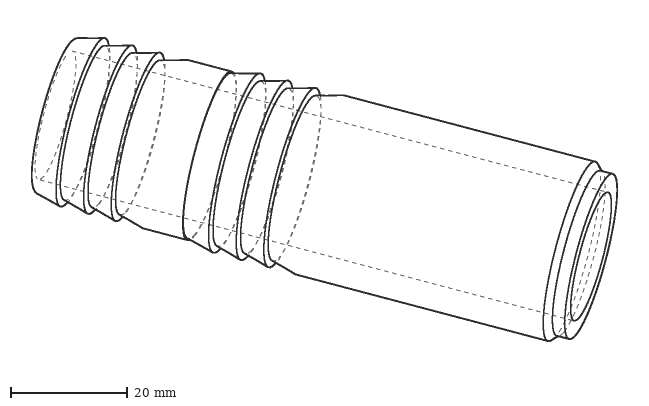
import cadquery as cq

length = 97.0
body_radius = 16.0
bore_radius = 11.4

barbs_per_group = 4
group_length = 20.0
barb_pitch = group_length / barbs_per_group
barb_back_length = 0.4
band_radius = 15.0
band_length = 8.0
front_root_radius = 13.8
rear_root_radius = 14.7
tip_fillet = 0.9

neck_radius = 14.7
neck_length = 2.2
neck_chamfer = body_radius - neck_radius

start_x = -length / 2
end_x = length / 2
rear_group_x = start_x + group_length + band_length


def barb_points(group_x, root_radius, crest_radius):
    """Sawtooth outline of one barb group, ending on its last crest."""
    points = []
    for index in range(barbs_per_group):
        barb_x = group_x + index * barb_pitch
        root_x = barb_x if index == 0 else barb_x + barb_back_length
        points.append((root_x, root_radius))
        points.append((barb_x + barb_pitch, crest_radius))
    return points


outline = [(start_x, 0)]
outline += barb_points(start_x, front_root_radius, band_radius)
outline.append((rear_group_x, band_radius))
outline += barb_points(rear_group_x, rear_root_radius, body_radius)
outline += [
    (end_x - neck_length - neck_chamfer, body_radius),
    (end_x - neck_length, neck_radius),
    (end_x, neck_radius),
    (end_x, 0),
]
body = cq.Workplane("XY").polyline(outline).close().revolve(360, (0, 0, 0), (1, 0, 0))

body = body.faces("<X").edges().fillet(tip_fillet)

bore = cq.Workplane("YZ", origin=(start_x, 0, 0)).circle(bore_radius).extrude(length)
result = body.cut(bore)